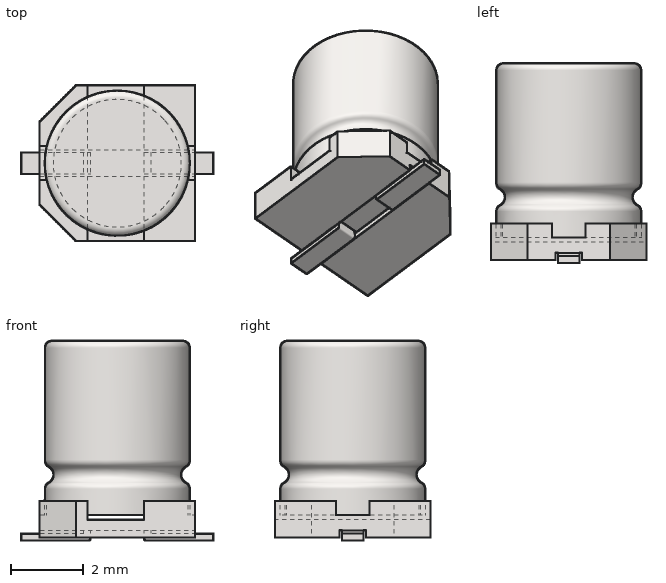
import cadquery as cq
import math

TOTAL_HEIGHT = 5.51
LEAD_SPAN = 5.3

BASE_SIDE = 4.3
BASE_BOTTOM = 0.08
BASE_TOP = 1.095
CORNER_CHAMFER = 1.015

CHANNEL_LEFT = -0.815
CHANNEL_RIGHT = 0.735
CHANNEL_FLOOR = 0.58

NOTCH_WIDTH = 0.935

CAN_RADIUS = 2.0
CAN_BOTTOM = 0.705
RIM_FILLET = 0.2

GROOVE_HEIGHT = 1.82
GROOVE_RADIUS = 0.25
GROOVE_DEPTH = 0.235
LIP_RADIUS = RIM_FILLET

LEAD_WIDTH = 0.6
LEAD_THICKNESS = 0.195
LEAD_INNER_END = 0.74
LEAD_BEND_RADIUS = 0.05
SLOT_WIDTH = 0.73
SLOT_TOP = 0.285


def centred_bar(length_x, width_y, bottom, top, centre_x=0):
    """Rectangular bar between two heights, centred on Y = 0."""
    return (
        cq.Workplane("XY", origin=(centre_x, 0, bottom))
        .rect(length_x, width_y)
        .extrude(top - bottom)
    )


def make_base():
    """Square base with two chamfered corners, a channel, a notch and a lead slot."""
    base = centred_bar(BASE_SIDE, BASE_SIDE, BASE_BOTTOM, BASE_TOP)
    base = base.edges("|Z and <X").chamfer(CORNER_CHAMFER)
    channel_width = CHANNEL_RIGHT - CHANNEL_LEFT
    channel_centre = (CHANNEL_LEFT + CHANNEL_RIGHT) / 2
    channel = centred_bar(channel_width, BASE_SIDE, CHANNEL_FLOOR, BASE_TOP, channel_centre)
    notch = centred_bar(BASE_SIDE, NOTCH_WIDTH, CAN_BOTTOM, BASE_TOP)
    lead_slot = centred_bar(BASE_SIDE, SLOT_WIDTH, BASE_BOTTOM, SLOT_TOP)
    return base.cut(channel).cut(notch).cut(lead_slot)


def make_can():
    """Revolved can with a rounded top rim and a rolled groove near its foot."""
    radius_sum = GROOVE_RADIUS + LIP_RADIUS
    sweep = math.acos(1 - GROOVE_DEPTH / radius_sum)
    lip_end_height = radius_sum * math.sin(sweep)
    join_height = GROOVE_RADIUS * math.sin(sweep)
    lip_centre = CAN_RADIUS - LIP_RADIUS
    join_radius = lip_centre + LIP_RADIUS * math.cos(sweep)
    lip_mid_radius = lip_centre + LIP_RADIUS * math.cos(sweep / 2)
    lip_mid_height = lip_end_height - LIP_RADIUS * math.sin(sweep / 2)
    rim_inset = RIM_FILLET * (1 - math.sqrt(0.5))
    profile = (
        cq.Workplane("XZ")
        .moveTo(0, CAN_BOTTOM)
        .lineTo(CAN_RADIUS, CAN_BOTTOM)
        .lineTo(CAN_RADIUS, GROOVE_HEIGHT - lip_end_height)
        .threePointArc(
            (lip_mid_radius, GROOVE_HEIGHT - lip_mid_height),
            (join_radius, GROOVE_HEIGHT - join_height),
        )
        .threePointArc(
            (CAN_RADIUS - GROOVE_DEPTH, GROOVE_HEIGHT),
            (join_radius, GROOVE_HEIGHT + join_height),
        )
        .threePointArc(
            (lip_mid_radius, GROOVE_HEIGHT + lip_mid_height),
            (CAN_RADIUS, GROOVE_HEIGHT + lip_end_height),
        )
        .lineTo(CAN_RADIUS, TOTAL_HEIGHT - RIM_FILLET)
        .threePointArc(
            (CAN_RADIUS - rim_inset, TOTAL_HEIGHT - rim_inset),
            (CAN_RADIUS - RIM_FILLET, TOTAL_HEIGHT),
        )
        .lineTo(0, TOTAL_HEIGHT)
        .close()
    )
    return profile.revolve(360, (0, 0, 0), (0, 1, 0))


def make_lead():
    """L-shaped lead on the +X side; its inner end turns up into the base."""
    outer_end = LEAD_SPAN / 2
    leg_top = (SLOT_TOP + CHANNEL_FLOOR) / 2
    lead = (
        cq.Workplane("XZ")
        .moveTo(outer_end, 0)
        .lineTo(outer_end, LEAD_THICKNESS)
        .lineTo(LEAD_INNER_END + LEAD_THICKNESS, LEAD_THICKNESS)
        .lineTo(LEAD_INNER_END + LEAD_THICKNESS, leg_top)
        .lineTo(LEAD_INNER_END, leg_top)
        .lineTo(LEAD_INNER_END, 0)
        .close()
        .extrude(LEAD_WIDTH / 2, both=True)
    )
    return lead.faces("<X").edges("<Z").fillet(LEAD_BEND_RADIUS)


right_lead = make_lead()
left_lead = right_lead.mirror("YZ")
result = make_base().union(make_can()).union(right_lead).union(left_lead)